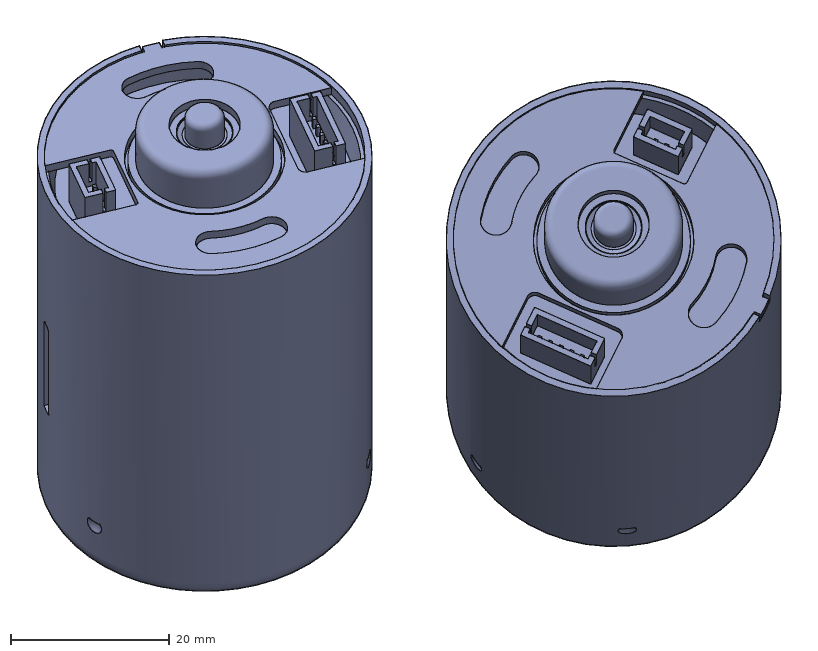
import cadquery as cq
import math


total_length = 82.5
can_bottom = 16.1
can_top = 74.9

can_diameter = 42.4
bore_diameter = 40.6
ledge_diameter = 39.6
floor_diameter = 37.95
can_bottom_fillet = 3.0

plate_recess = 0.3
plate_thickness = 1.2
plate_hole_diameter = 20.3
plate_top = can_top - plate_recess
plate_bottom = plate_top - plate_thickness
cavity_floor = 69.5

shaft_diameter = 5.0
shaft_top_fillet = 0.8
shaft_bottom_fillet = 0.6

boss_diameter = 17.5
upper_boss_top = 80.5
upper_boss_fillet = 1.15
lower_boss_bottom = 11.9
lower_boss_fillet = 1.0
flange_diameter = 19.5
flange_drop = 0.25
flange_thickness = 1.0
pedestal_diameter = 11.55

seat_diameter = 9.0
seat_depth = 1.2
seat_step_diameter = 7.2
seat_step_depth = 0.25
seat_cone_top_diameter = 7.0
seat_cone_bottom_diameter = 5.7
seat_cone_depth = 0.3

vent_center_radius = 15.1
vent_width = 4.0
vent_half_angle = 15.5

connector_top = 76.2
connector_depth = 4.1
connector_center_y = 15.1
connector_wall = 0.75
connector_pocket_depth = 4.1
connector_slot_width = 0.4
connector_slot_depth = 3.3
connector_slot_offset = 0.6
pin_size = 0.5
pin_pitch = 1.5
pin_drop = 2.5
pin_offset = 0.6
five_pin_width = 9.8
two_pin_width = 6.3
two_pin_center_x = 0.25
five_pin_window_width = 13.2
five_pin_window_radius = 1.1
two_pin_window_width = 10.2
two_pin_window_radius = 0.4
window_inner_y = 10.6

notch_width = 3.05
notch_depth = 2.0
tab_width = 2.3

side_slot_width = 1.7
side_slot_bottom = 35.9
side_slot_top = 51.3
side_slot_depth = 2.5
side_slot_fillet = 0.5
dent_angles = (60, 120, 240, 300)
dent_top = 25.1
dent_diameter = 4.1
dent_center_drop = 0.7
dent_center_offset = 1.65


def cylinder(diameter, bottom, top):
    """Upright cylinder on the shaft axis."""
    return cq.Workplane("XY").workplane(offset=bottom).circle(diameter / 2).extrude(top - bottom)


def block(x_size, y_size, bottom, top, x=0.0, y=0.0):
    """Upright block centred at (x, y)."""
    return cq.Workplane("XY").box(x_size, y_size, top - bottom).translate((x, y, (bottom + top) / 2))


def cone(bottom_diameter, top_diameter, bottom, top):
    """Upright truncated cone on the shaft axis."""
    base = cq.Workplane("XY").workplane(offset=bottom).circle(bottom_diameter / 2)
    return base.workplane(offset=top - bottom).circle(top_diameter / 2).loft()


def make_can():
    """Can body, with a tapered cavity at the top and a ledge for the end plate."""
    can = cylinder(can_diameter, can_bottom, can_top).faces("<Z").edges().fillet(can_bottom_fillet)
    can = can.cut(cylinder(bore_diameter, plate_bottom, can_top))
    can = can.cut(cone(floor_diameter, ledge_diameter, cavity_floor, plate_bottom))
    notch = block(can_diameter / 2, notch_width, can_top - notch_depth, can_top, x=-can_diameter / 2)
    bore = cylinder(ledge_diameter, can_top - notch_depth, can_top)
    return can.cut(notch.cut(bore))


def make_vent(side):
    """Kidney-shaped cutter on the +X (side = 1) or -X (side = -1) half of the plate."""
    inner = vent_center_radius - vent_width / 2
    outer = vent_center_radius + vent_width / 2

    def at(radius, degrees):
        angle = math.radians(degrees)
        return (side * radius * math.cos(angle), radius * math.sin(angle))

    tip_angle = math.degrees(math.asin(vent_width / 2 / vent_center_radius)) + vent_half_angle
    return (
        cq.Workplane("XY")
        .workplane(offset=plate_bottom)
        .moveTo(*at(outer, -vent_half_angle))
        .threePointArc(at(outer, 0), at(outer, vent_half_angle))
        .threePointArc(at(vent_center_radius, tip_angle), at(inner, vent_half_angle))
        .threePointArc(at(inner, 0), at(inner, -vent_half_angle))
        .threePointArc(at(vent_center_radius, -tip_angle), at(outer, -vent_half_angle))
        .close()
        .extrude(plate_thickness)
    )


def make_window(width, corner_radius, side):
    """Window cutter that is open at the plate rim on the +Y (side = 1) or -Y (side = -1) side."""
    length = can_diameter / 2 - window_inner_y
    center_y = side * (window_inner_y + length / 2)
    inner_edges = "|Z and <Y" if side > 0 else "|Z and >Y"
    window = block(width, length, plate_bottom, plate_top, y=center_y)
    return window.edges(inner_edges).fillet(corner_radius)


def make_plate():
    """End plate with its centre hole, vents, connector windows and locating tab."""
    plate = cylinder(bore_diameter, plate_bottom, plate_top)
    plate = plate.cut(cylinder(plate_hole_diameter, plate_bottom, plate_top))
    for side in (-1, 1):
        plate = plate.cut(make_vent(side))
    plate = plate.cut(make_window(five_pin_window_width, five_pin_window_radius, 1))
    plate = plate.cut(make_window(two_pin_window_width, two_pin_window_radius, -1))
    tab_length = can_diameter / 2 - vent_center_radius - vent_width / 2
    tab_x = (tab_length - can_diameter) / 2
    tab = block(tab_length, tab_width, plate_bottom, plate_top, x=tab_x)
    return plate.union(tab.intersect(cylinder(can_diameter, plate_bottom, plate_top)))


def make_bosses():
    """Bearing bosses at both ends; the upper one stands on a thin flange and a narrow pedestal."""
    flange_top = plate_top - flange_drop
    flange_bottom = flange_top - flange_thickness
    upper = cylinder(boss_diameter, flange_top, upper_boss_top)
    upper = upper.faces(">Z").edges().fillet(upper_boss_fillet)
    lower = cylinder(boss_diameter, lower_boss_bottom, can_bottom)
    lower = lower.faces("<Z").edges().fillet(lower_boss_fillet)
    flange = cylinder(flange_diameter, flange_bottom, flange_top)
    pedestal = cylinder(pedestal_diameter, cavity_floor, flange_bottom)
    step_top = upper_boss_top - seat_depth
    cone_top = step_top - seat_step_depth
    upper = upper.cut(cylinder(seat_diameter, step_top, upper_boss_top))
    upper = upper.cut(cylinder(seat_step_diameter, cone_top, step_top))
    cone_bottom = cone_top - seat_cone_depth
    upper = upper.cut(cone(seat_cone_bottom_diameter, seat_cone_top_diameter, cone_bottom, cone_top))
    return upper.union(flange).union(pedestal), lower


def make_shaft():
    """Full-length shaft with rounded ends."""
    shaft = cylinder(shaft_diameter, 0, total_length)
    shaft = shaft.faces(">Z").edges().fillet(shaft_top_fillet)
    return shaft.faces("<Z").edges().fillet(shaft_bottom_fillet)


def make_connector(width, pin_count, x, y):
    """Open-topped box connector with slotted end walls and a row of square pins."""
    pocket_floor = connector_top - connector_pocket_depth
    shell = block(width, connector_depth, cavity_floor, connector_top, x, y)
    pocket = block(
        width - 2 * connector_wall, connector_depth - 2 * connector_wall, pocket_floor, connector_top, x, y
    )
    slot_floor = connector_top - connector_slot_depth
    slot = block(width, connector_slot_width, slot_floor, connector_top, x, y + connector_slot_offset)
    connector = shell.cut(pocket).cut(slot)
    for index in range(pin_count):
        pin_x = x + (index - (pin_count - 1) / 2) * pin_pitch
        pin = block(pin_size, pin_size, pocket_floor, connector_top - pin_drop, pin_x, y + pin_offset)
        connector = connector.union(pin)
    return connector


def make_side_slot():
    """Upright slot cutter in the -Y side of the can, with rounded upper corners."""
    slot = block(side_slot_width, 2 * side_slot_depth, side_slot_bottom, side_slot_top, y=-can_diameter / 2)
    return slot.faces(">Z").edges("|Y").fillet(side_slot_fillet)


def make_dent(degrees):
    """Ball-shaped cutter with a flat top that nicks the can wall."""
    center_z = dent_top - dent_center_drop
    ball = cq.Workplane("XY").sphere(dent_diameter / 2)
    ball = ball.translate((can_diameter / 2 + dent_center_offset, 0, center_z))
    below_top = block(2 * can_diameter, can_diameter, can_bottom, dent_top)
    dent = ball.intersect(below_top)
    return dent.rotate((0, 0, 0), (0, 0, 1), degrees)


can = make_can().cut(make_side_slot())
for dent_angle in dent_angles:
    can = can.cut(make_dent(dent_angle))

upper_boss, lower_boss = make_bosses()
five_pin = make_connector(five_pin_width, 5, 0, connector_center_y)
two_pin = make_connector(two_pin_width, 2, two_pin_center_x, -connector_center_y)

result = can
for piece in (make_plate(), upper_boss, lower_boss, make_shaft(), five_pin, two_pin):
    result = result.union(piece)